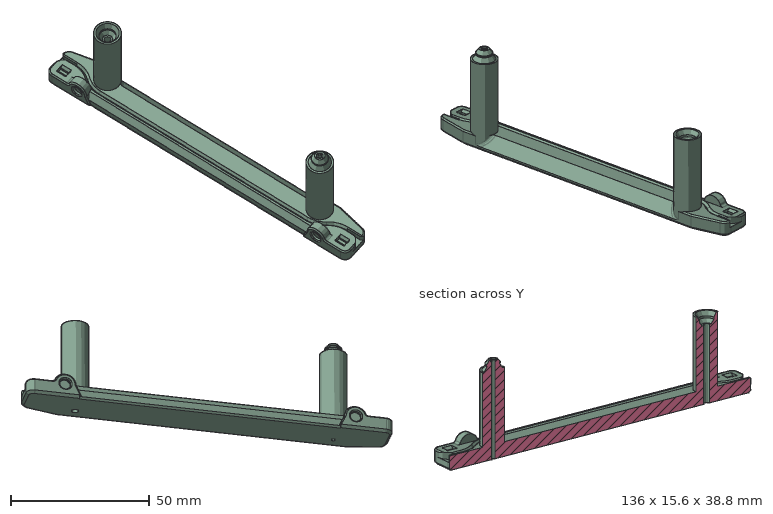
import cadquery as cq
import math

LENGTH = 136.0
DEPTH = 15.6
BODY_HEIGHT = 5.8
BOTTOM_CHAMFER = 1.0
TOP_CHAMFER = 0.5
FRONT_CORNER_RADIUS = 2.7
TIP_RADIUS = 3.1
WING_TIP_Y = 12.5
WING_START_X = 53.9
HALF = LENGTH / 2

PILLAR_X = 48.0
PILLAR_RADIUS = 5.0
PILLAR_Y = DEPTH - PILLAR_RADIUS
PILLAR_TOP = 34.7
TOTAL_HEIGHT = 38.8

SEAT_RADIUS = 4.2
NECK_RADIUS = 3.0
HEAD_RADIUS = 3.1
NOSE_RADIUS = 1.9
SKIRT_HEIGHT = 1.8
HEAD_BOTTOM = 2.0
HEAD_TOP = 2.6
SPIGOT_BORE_RADIUS = 0.7
SPIGOT_MOUTH_RADIUS = 1.2
SPIGOT_MOUTH_DEPTH = 0.5
SOCKET_BORE_RADIUS = 1.2

BOSS_X = 54.0
BOSS_Z = 5.0
BOSS_RADIUS = 4.1
BOSS_DEPTH = 3.7
BOSS_FILLET = 1.1
BOSS_FOOT_X = 48.0
BOSS_HOLE_RADIUS = 2.0
BOSS_HOLE_DEPTH = 1.4
BOSS_HOLE_CHAMFER = 0.4
BOSS_INNER_X = BOSS_X - BOSS_RADIUS

RECESS_DEPTH = 0.7
RECESS_BOTTOM_CHAMFER = 0.7
SLOPE_START_Z = 3.3
SLOPE_TOP_Y = 2.5

BACK_SLOPE_WIDTH = 4.2
PILLAR_FILLET = 1.4

GROOVE_HALF_WIDTH = 0.8
GROOVE_DEPTH = 1.0
GROOVE_MID_Y = 4.1
GROOVE_END_Y = 9.2
GROOVE_BEND_INNER_X = 46.9
SLOT_INNER_X = 61.2
SLOT_WIDTH = 0.8
SLOT_FLOOR_Z = 3.3
PAD_CORNER_X = 64.6
PAD_CORNER_MID = (66.8, 7.2)
PAD_CORNER_END_Y = 3.4
WING_CORNER = 1.2

POCKET_X = 63.0
POCKET_Y = 4.2
POCKET_LENGTH = 4.1
POCKET_WIDTH = 3.5
POCKET_SLOPE_DEPTH = 1.0
POCKET_SLOT_WIDTH = 1.6
POCKET_SLOT_DEPTH = 1.8

SPARE = 1.4


def both_ends(left):
    """Join a left-hand solid with its mirror image on the right."""
    return left.union(left.mirror("YZ"))


def body():
    """Flat plate with tapering wings at the back and chamfered rims."""
    plate = (
        cq.Workplane("XY")
        .polyline([
            (-HALF, 0), (HALF, 0), (HALF, WING_TIP_Y), (WING_START_X, DEPTH),
            (-WING_START_X, DEPTH), (-HALF, WING_TIP_Y),
        ])
        .close()
        .extrude(BODY_HEIGHT)
    )
    plate = plate.edges("|Z and <Y").fillet(FRONT_CORNER_RADIUS)
    for end_x in (-HALF, HALF):
        tip = cq.selectors.BoxSelector(
            (end_x - SPARE, WING_TIP_Y - SPARE, -SPARE),
            (end_x + SPARE, WING_TIP_Y + SPARE, BODY_HEIGHT + SPARE),
        )
        plate = plate.edges(tip).edges("|Z").fillet(TIP_RADIUS)
    return plate.faces("<Z").chamfer(BOTTOM_CHAMFER).faces(">Z").chamfer(TOP_CHAMFER)


def front_recess():
    """Material removed ahead of the stepped and sloping front face.

    Its ends reach under the bosses, which later fill them up to their chamfered sides.
    """
    profile = (
        cq.Workplane("YZ")
        .polyline([
            (-SPARE, -SPARE), (RECESS_DEPTH + RECESS_BOTTOM_CHAMFER + SPARE, -SPARE),
            (RECESS_DEPTH + RECESS_BOTTOM_CHAMFER, 0), (RECESS_DEPTH, RECESS_BOTTOM_CHAMFER),
            (RECESS_DEPTH, SLOPE_START_Z), (SLOPE_TOP_Y, BODY_HEIGHT),
            (SLOPE_TOP_Y, BODY_HEIGHT + SPARE), (-SPARE, BODY_HEIGHT + SPARE),
        ])
        .close()
        .extrude(HALF, both=True)
    )
    right_side = [
        (BOSS_FOOT_X + TOP_CHAMFER, -SPARE), (BOSS_FOOT_X + TOP_CHAMFER, BOTTOM_CHAMFER),
        (BOSS_INNER_X + TOP_CHAMFER, BOSS_Z), (BOSS_INNER_X + TOP_CHAMFER, BODY_HEIGHT + SPARE),
    ]
    left_side = [(-x, z) for x, z in reversed(right_side)]
    opening = (
        cq.Workplane("XZ")
        .polyline(right_side + left_side)
        .close()
        .extrude(DEPTH, both=True)
    )
    return profile.intersect(opening)


def back_slope():
    """45 degree relief along the back, ending inside each pillar."""
    return (
        cq.Workplane("YZ")
        .polyline([
            (DEPTH - BACK_SLOPE_WIDTH, BODY_HEIGHT),
            (DEPTH + SPARE, BODY_HEIGHT - BACK_SLOPE_WIDTH - SPARE),
            (DEPTH + SPARE, BODY_HEIGHT),
        ])
        .close()
        .extrude(PILLAR_X, both=True)
    )


def groove():
    """V groove: straight in the middle, an S bend of two equal arcs at each end."""
    run = SLOT_INNER_X - GROOVE_BEND_INNER_X
    rise = GROOVE_END_Y - GROOVE_MID_Y
    turn = 2 * math.atan2(rise, run)
    radius = run / 2 / math.sin(turn)
    bow_x = radius * math.sin(turn / 2)
    bow_y = radius * (1 - math.cos(turn / 2))
    centre_x = SLOT_INNER_X - run / 2
    centre_y = GROOVE_MID_Y + rise / 2
    outer_bow = (SLOT_INNER_X - bow_x, GROOVE_END_Y - bow_y)
    inner_bow = (GROOVE_BEND_INNER_X + bow_x, GROOVE_MID_Y + bow_y)
    path = (
        cq.Workplane("XY", origin=(0, 0, BODY_HEIGHT))
        .moveTo(-HALF - SPARE, GROOVE_END_Y)
        .lineTo(-SLOT_INNER_X, GROOVE_END_Y)
        .threePointArc((-outer_bow[0], outer_bow[1]), (-centre_x, centre_y))
        .threePointArc((-inner_bow[0], inner_bow[1]), (-GROOVE_BEND_INNER_X, GROOVE_MID_Y))
        .lineTo(0, GROOVE_MID_Y)
    )
    left = (
        cq.Workplane("YZ", origin=(-HALF - SPARE, GROOVE_END_Y, BODY_HEIGHT))
        .polyline([(-GROOVE_HALF_WIDTH, 0), (GROOVE_HALF_WIDTH, 0), (0, -GROOVE_DEPTH)])
        .close()
        .sweep(path)
    )
    return both_ends(left)


def end_slots():
    """Deep slots between each wing and its pad, wrapping round the pad corner."""
    pad_y = GROOVE_END_Y - SLOT_WIDTH / 2
    wing_y = GROOVE_END_Y + SLOT_WIDTH / 2
    left = (
        cq.Workplane("XY", origin=(0, 0, SLOT_FLOOR_Z))
        .moveTo(-SLOT_INNER_X, wing_y)
        .lineTo(-SLOT_INNER_X, pad_y)
        .lineTo(-PAD_CORNER_X, pad_y)
        .threePointArc((-PAD_CORNER_MID[0], PAD_CORNER_MID[1]), (-HALF, PAD_CORNER_END_Y))
        .lineTo(-HALF - SPARE, PAD_CORNER_END_Y)
        .lineTo(-HALF - SPARE, wing_y + WING_CORNER)
        .lineTo(-HALF, wing_y + WING_CORNER)
        .radiusArc((-HALF + WING_CORNER, wing_y), -WING_CORNER)
        .close()
        .extrude(BODY_HEIGHT)
    )
    return both_ends(left)


def pockets():
    """Rectangular pockets with sloping long sides and a straight slot at the bottom."""
    half_top = POCKET_WIDTH / 2
    half_slot = POCKET_SLOT_WIDTH / 2
    left = (
        cq.Workplane("YZ", origin=(-POCKET_X, POCKET_Y, BODY_HEIGHT))
        .polyline([
            (-half_top, 0), (half_top, 0),
            (half_slot, -POCKET_SLOPE_DEPTH), (half_slot, -POCKET_SLOT_DEPTH),
            (-half_slot, -POCKET_SLOT_DEPTH), (-half_slot, -POCKET_SLOPE_DEPTH),
        ])
        .close()
        .extrude(POCKET_LENGTH / 2, both=True)
    )
    return both_ends(left)


def bosses():
    """Round screw bosses blended into the pads and flared down to the base."""
    blend_z = BODY_HEIGHT + BOSS_FILLET
    lift = blend_z - BOSS_Z
    reach = math.sqrt((BOSS_RADIUS + BOSS_FILLET) ** 2 - lift ** 2)
    blend_x = -BOSS_X - reach
    share = BOSS_RADIUS / (BOSS_RADIUS + BOSS_FILLET)
    touch = (-BOSS_X - reach * share, BOSS_Z + lift * share)
    left = (
        cq.Workplane("XZ")
        .moveTo(blend_x, BOTTOM_CHAMFER)
        .lineTo(blend_x, BODY_HEIGHT)
        .radiusArc(touch, -BOSS_FILLET)
        .threePointArc((-BOSS_X, BOSS_Z + BOSS_RADIUS), (-BOSS_INNER_X, BOSS_Z))
        .lineTo(-BOSS_FOOT_X, BOTTOM_CHAMFER)
        .close()
        .extrude(-BOSS_DEPTH)
    )
    left = left.faces("<Y").edges("not(#X or #Z)").chamfer(TOP_CHAMFER)
    return both_ends(left)


def boss_holes():
    """Blind screw holes with a chamfered mouth."""
    hole = (
        cq.Workplane("XZ", origin=(-BOSS_X, 0, BOSS_Z))
        .circle(BOSS_HOLE_RADIUS)
        .extrude(-BOSS_HOLE_DEPTH)
    )
    mouth = (
        cq.Workplane("XZ", origin=(-BOSS_X, 0, BOSS_Z))
        .circle(BOSS_HOLE_RADIUS + BOSS_HOLE_CHAMFER)
        .workplane(offset=-BOSS_HOLE_CHAMFER)
        .circle(BOSS_HOLE_RADIUS)
        .loft()
    )
    return both_ends(hole.union(mouth))


def turned(points, x):
    """Solid of revolution about a pillar axis from (radius, height) points."""
    return (
        cq.Workplane("XZ", origin=(x, PILLAR_Y, 0))
        .polyline(points)
        .close()
        .revolve(360, (0, 0), (0, 1))
    )


def socket_pillar():
    """Left pillar: a stepped conical socket running into a through bore."""
    seat_z = PILLAR_TOP - SKIRT_HEIGHT
    throat_z = PILLAR_TOP - HEAD_TOP
    nose_z = PILLAR_TOP - (TOTAL_HEIGHT - PILLAR_TOP)
    pillar = turned(
        [(0, BOTTOM_CHAMFER), (PILLAR_RADIUS, BOTTOM_CHAMFER),
         (PILLAR_RADIUS, PILLAR_TOP), (0, PILLAR_TOP)],
        -PILLAR_X,
    )
    socket = turned(
        [(0, -SPARE), (SOCKET_BORE_RADIUS, -SPARE), (SOCKET_BORE_RADIUS, nose_z),
         (NOSE_RADIUS, nose_z), (HEAD_RADIUS, throat_z), (HEAD_RADIUS, seat_z),
         (SEAT_RADIUS, PILLAR_TOP), (0, PILLAR_TOP)],
        -PILLAR_X,
    )
    return pillar, socket


def spigot_pillar():
    """Right pillar: a necked conical spigot with a fine, counterbored through bore."""
    pillar = turned(
        [(0, BOTTOM_CHAMFER), (PILLAR_RADIUS, BOTTOM_CHAMFER),
         (PILLAR_RADIUS, PILLAR_TOP), (SEAT_RADIUS, PILLAR_TOP),
         (NECK_RADIUS, PILLAR_TOP + SKIRT_HEIGHT), (NECK_RADIUS, PILLAR_TOP + HEAD_BOTTOM),
         (HEAD_RADIUS, PILLAR_TOP + HEAD_BOTTOM), (HEAD_RADIUS, PILLAR_TOP + HEAD_TOP),
         (NOSE_RADIUS, TOTAL_HEIGHT), (0, TOTAL_HEIGHT)],
        PILLAR_X,
    )
    bore = turned(
        [(0, -SPARE), (SPIGOT_BORE_RADIUS, -SPARE),
         (SPIGOT_BORE_RADIUS, TOTAL_HEIGHT - SPIGOT_MOUTH_DEPTH),
         (SPIGOT_MOUTH_RADIUS, TOTAL_HEIGHT - SPIGOT_MOUTH_DEPTH),
         (SPIGOT_MOUTH_RADIUS, TOTAL_HEIGHT), (0, TOTAL_HEIGHT)],
        PILLAR_X,
    )
    return pillar, bore


left_pillar, left_socket = socket_pillar()
right_pillar, right_bore = spigot_pillar()

result = body().cut(front_recess()).cut(back_slope())
result = result.cut(groove()).cut(end_slots()).cut(pockets())
result = result.union(bosses()).cut(boss_holes())
result = result.union(left_pillar).union(right_pillar)
result = result.cut(left_socket).cut(right_bore)

slope_joints = cq.selectors.BoxSelector(
    (-PILLAR_X, PILLAR_Y, 0), (PILLAR_X, DEPTH, BODY_HEIGHT),
)
result = result.edges("%ELLIPSE").edges(slope_joints).fillet(PILLAR_FILLET)